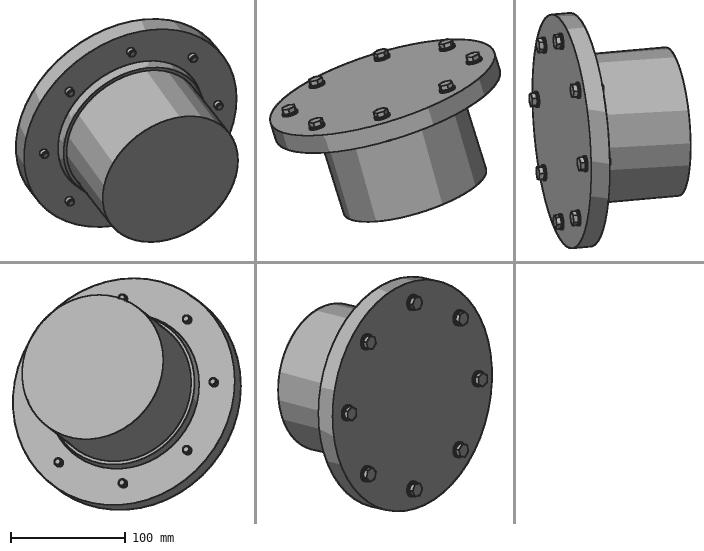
import cadquery as cq
import math


flange_diameter = 206.0
flange_thickness = 16.9
spigot_diameter = 131.0
spigot_end = 100.0

collar_diameter = 137.0
collar_root_diameter = 140.0
taper_length = 5.0
band_length = 3.3

bolt_count = 8
bolt_circle_diameter = 168.5
shank_diameter = 7.0
shank_protrusion = 5.2
shank_chamfer = 0.8
washer_diameter = 14.0
washer_thickness = 1.2
bearing_face_height = 0.6
head_sides = 6
head_across_flats = 11.0
head_height = 4.3
bearing_face_diameter = head_across_flats
head_across_corners = head_across_flats / math.cos(math.pi / head_sides)


def cylinder_along_x(diameter, start, end):
    """Cylinder on the X axis between two X positions."""
    return cq.Workplane("YZ", origin=(start, 0, 0)).circle(diameter / 2).extrude(end - start)


def make_collar():
    """Collar that narrows away from the flange and ends in a straight band."""
    taper_end = flange_thickness + taper_length
    band_end = taper_end + band_length
    outline = [
        (flange_thickness, 0),
        (flange_thickness, collar_root_diameter / 2),
        (taper_end, collar_diameter / 2),
        (band_end, collar_diameter / 2),
        (band_end, 0),
    ]
    return cq.Workplane("XY").polyline(outline).close().revolve(360, (0, 0, 0), (1, 0, 0))


def make_bolt():
    """Bolt on the X axis with a hexagonal head, a round bearing face, a washer and a chamfered shank end.

    Two flats of the head face +Z and -Z.
    """
    shank = cylinder_along_x(shank_diameter, 0, flange_thickness + shank_protrusion)
    shank = shank.faces(">X").chamfer(shank_chamfer)
    washer = cylinder_along_x(washer_diameter, -washer_thickness, 0)
    head_base = -washer_thickness - bearing_face_height
    bearing_face = cylinder_along_x(bearing_face_diameter, head_base, -washer_thickness)
    head = (
        cq.Workplane("YZ", origin=(head_base - head_height, 0, 0))
        .polygon(head_sides, head_across_corners)
        .extrude(head_height)
    )
    return head.union(bearing_face).union(washer).union(shank)


flange = cylinder_along_x(flange_diameter, 0, flange_thickness)
spigot = cylinder_along_x(spigot_diameter, flange_thickness, spigot_end)
result = flange.union(make_collar()).union(spigot)

outermost_bolt = make_bolt().translate((0, 0, bolt_circle_diameter / 2))
for index in range(bolt_count):
    angle = index * 360 / bolt_count
    result = result.union(outermost_bolt.rotate((0, 0, 0), (1, 0, 0), angle))